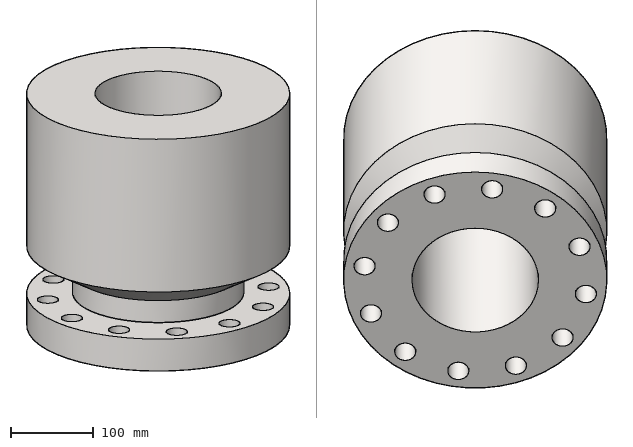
import cadquery as cq

outer_diameter = 317.5
flange_thickness = 41.3

total_height = 298.5
neck_length = 29.0
cone_height = 31.7

neck_diameter = 207.0
neck_edge_chamfer = 1.0
bore_diameter = 152.5

bolt_count = 12
bolt_circle_diameter = 269.8
bolt_hole_diameter = 25.5

outer_radius = outer_diameter / 2
neck_radius = neck_diameter / 2
bore_radius = bore_diameter / 2
neck_top = flange_thickness + neck_length
cone_top = neck_top + cone_height


def turned_body():
    """Flange, neck, cone and thick-walled cylinder revolved about Z."""
    half_section = (
        cq.Workplane("XZ")
        .moveTo(bore_radius, 0)
        .lineTo(outer_radius, 0)
        .lineTo(outer_radius, flange_thickness)
        .lineTo(neck_radius - neck_edge_chamfer, flange_thickness)
        .lineTo(neck_radius, flange_thickness + neck_edge_chamfer)
        .lineTo(neck_radius, neck_top)
        .lineTo(outer_radius, cone_top)
        .lineTo(outer_radius, total_height)
        .lineTo(bore_radius, total_height)
        .close()
    )
    return half_section.revolve(360, (0, 0, 0), (0, 1, 0))


def bolt_holes():
    """Cylinders that pass through the flange only."""
    return (
        cq.Workplane("XY")
        .polarArray(bolt_circle_diameter / 2, 0, 360, bolt_count)
        .circle(bolt_hole_diameter / 2)
        .extrude(flange_thickness)
    )


result = turned_body().cut(bolt_holes())